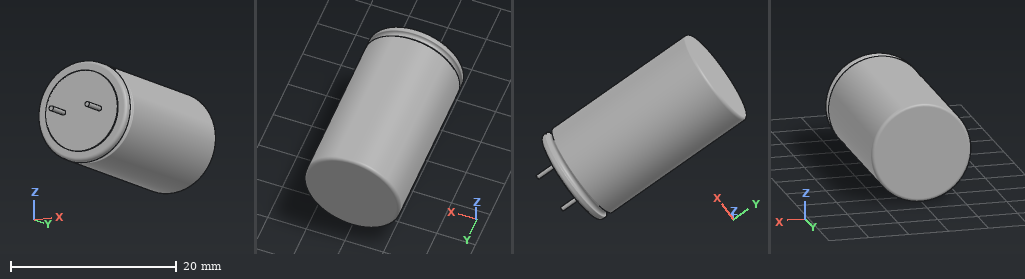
import cadquery as cq

can_diameter = 12.5
can_length = 22.0
rim_fillet = 0.44

groove_center = 1.26
groove_radius = 0.4
groove_lip_fillet = 0.12

disc_diameter = 10.0
disc_thickness = 0.2
lead_diameter = 0.6
lead_length = 3.0
lead_pitch = 5.0

can_radius = can_diameter / 2
can_start = disc_thickness
can_end = can_start + can_length


def cylinder_along_y(diameter, y_start, y_end, x=0.0):
    """Solid cylinder parallel to Y between two Y positions."""
    plane = cq.Plane(origin=(x, y_start, 0), xDir=(1, 0, 0), normal=(0, 1, 0))
    return cq.Workplane(plane).circle(diameter / 2).extrude(y_end - y_start)


def make_can():
    """Can with a round-bottomed groove and rounded end rims."""
    groove_y = can_start + groove_center
    groove_low = groove_y - groove_radius
    groove_high = groove_y + groove_radius
    profile = (
        cq.Workplane("XY")
        .moveTo(0, can_start)
        .lineTo(can_radius, can_start)
        .lineTo(can_radius, groove_low)
        .threePointArc((can_radius - groove_radius, groove_y), (can_radius, groove_high))
        .lineTo(can_radius, can_end)
        .lineTo(0, can_end)
        .close()
    )
    can = profile.revolve(360, (0, 0, 0), (0, 1, 0))
    can = can.faces("<Y or >Y").edges().fillet(rim_fillet)
    groove_zone = cq.selectors.BoxSelector(
        (-can_diameter, groove_low - groove_lip_fillet, -can_diameter),
        (can_diameter, groove_high + groove_lip_fillet, can_diameter),
    )
    full_radius = cq.selectors.RadiusNthSelector(-1)
    return can.edges(full_radius).edges(groove_zone).fillet(groove_lip_fillet)


def make_disc():
    """Sealing disc standing proud of the lead end."""
    return cylinder_along_y(disc_diameter, 0, can_start)


def make_lead(x):
    """Straight round lead, starting at the lead end of the can."""
    return cylinder_along_y(lead_diameter, -lead_length, can_start, x)


result = make_can().union(make_disc())
for lead_x in (-lead_pitch / 2, lead_pitch / 2):
    result = result.union(make_lead(lead_x))